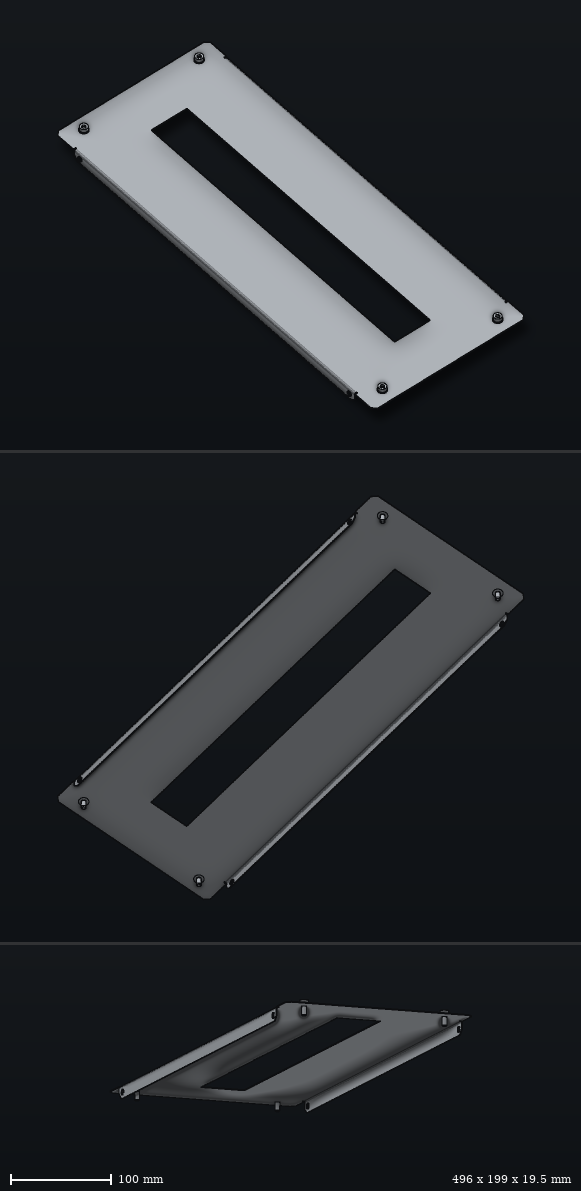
import cadquery as cq
import math

plate_length = 496.0
plate_width = 199.0
sheet_thickness = 1.0
corner_chamfer = 5.0
window_length = 378.0
window_width = 46.0

flange_length = 435.5
flange_depth = 14.0
flange_chamfer = 5.0
bend_radius = 2.0
flange_hole_diameter = 6.0
flange_hole_inset = 8.5
flange_hole_drop = 7.5
relief_width = 1.0
relief_depth = 3.0

screw_spacing_x = 464.0
screw_spacing_y = 150.0
shank_diameter = 5.0
shank_drop = 9.5
shank_tip_chamfer = 1.0
head_diameter = 9.0
head_height = 4.5
socket_width = 4.0
socket_depth = 2.5
socket_turn = 30
washer_diameter = 10.5
washer_thickness = 1.0

screw_places = [
    (side_x * screw_spacing_x / 2, side_y * screw_spacing_y / 2)
    for side_x in (-1, 1)
    for side_y in (-1, 1)
]


def make_flange():
    """Flange on the -Y edge: a bent strip with clipped lower corners and a hole near each end."""
    outer_y = -plate_width / 2
    inner_y = outer_y + sheet_thickness
    bend_start_y = outer_y + bend_radius
    bend_centre_z = -bend_radius
    inner_radius = bend_radius - sheet_thickness
    diagonal = math.sqrt(0.5)
    strip = (
        cq.Workplane("YZ")
        .moveTo(bend_start_y, 0)
        .threePointArc(
            (bend_start_y - bend_radius * diagonal, bend_centre_z + bend_radius * diagonal),
            (outer_y, bend_centre_z),
        )
        .lineTo(outer_y, -flange_depth)
        .lineTo(inner_y, -flange_depth)
        .lineTo(inner_y, bend_centre_z)
        .threePointArc(
            (bend_start_y - inner_radius * diagonal, bend_centre_z + inner_radius * diagonal),
            (bend_start_y, -sheet_thickness),
        )
        .close()
        .extrude(flange_length / 2, both=True)
    )
    strip = strip.faces("<Z").edges("|Y").chamfer(flange_chamfer)
    hole_x = flange_length / 2 - flange_hole_inset
    holes = (
        cq.Workplane("XZ", origin=(0, bend_start_y, -flange_hole_drop))
        .pushPoints([(-hole_x, 0), (hole_x, 0)])
        .circle(flange_hole_diameter / 2)
        .extrude(bend_radius)
    )
    return strip.cut(holes)


def make_panel():
    """Flat plate with a window, screw holes, edge cut-outs at the bends, and both flanges."""
    sheet = (
        cq.Workplane("XY", origin=(0, 0, -sheet_thickness))
        .rect(plate_length, plate_width)
        .extrude(sheet_thickness)
        .edges("|Z")
        .chamfer(corner_chamfer)
    )
    window = cq.Workplane("XY").rect(window_length, window_width).extrude(-sheet_thickness)
    screw_holes = (
        cq.Workplane("XY").pushPoints(screw_places).circle(shank_diameter / 2).extrude(-sheet_thickness)
    )
    sheet = sheet.cut(window).cut(screw_holes)

    flange = make_flange()
    relief_x = (flange_length + relief_width) / 2
    for side_y in (-1, 1):
        edge_y = side_y * plate_width / 2
        bend_strip = cq.Workplane("XY").center(0, edge_y).rect(flange_length, 2 * bend_radius)
        reliefs = (
            cq.Workplane("XY")
            .pushPoints([(-relief_x, edge_y), (relief_x, edge_y)])
            .rect(relief_width, 2 * relief_depth)
        )
        sheet = sheet.cut(bend_strip.extrude(-sheet_thickness)).cut(reliefs.extrude(-sheet_thickness))
    return sheet.union(flange).union(flange.mirror("XZ"))


def make_washer(place):
    """Flat ring resting on the plate."""
    return (
        cq.Workplane("XY")
        .center(*place)
        .circle(washer_diameter / 2)
        .circle(shank_diameter / 2)
        .extrude(washer_thickness)
    )


def make_screw(place):
    """Cylinder-head screw with a hexagon socket, its head resting on the washer."""
    head = (
        cq.Workplane("XY", origin=(0, 0, washer_thickness))
        .circle(head_diameter / 2)
        .extrude(head_height)
    )
    socket = (
        cq.Workplane("XY", origin=(0, 0, washer_thickness + head_height))
        .transformed(rotate=(0, 0, socket_turn))
        .polygon(6, socket_width, circumscribed=True)
        .extrude(-socket_depth)
    )
    shank = (
        cq.Workplane("XY", origin=(0, 0, washer_thickness))
        .circle(shank_diameter / 2)
        .extrude(-washer_thickness - sheet_thickness - shank_drop)
        .faces("<Z")
        .chamfer(shank_tip_chamfer)
    )
    return head.cut(socket).union(shank).translate((*place, 0))


panel = make_panel()
washers = [make_washer(place) for place in screw_places]
screws = [make_screw(place) for place in screw_places]

result = cq.Compound.makeCompound(
    [panel.val()] + [washer.val() for washer in washers] + [screw.val() for screw in screws]
)